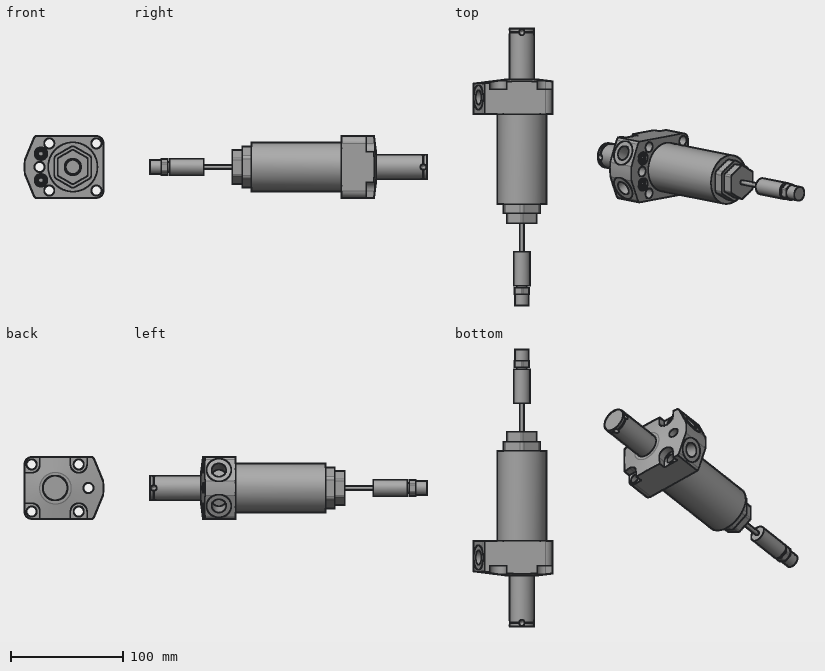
import cadquery as cq
import math


head_half = 27.7
head_side = 27.5
head_radius = 43.3
head_corner_radius = 6.7
crown_height = 31.0
crown_edge_height = 27.2
crown_flat_radius = 14.0
bolt_offset = 21.0
bolt_hole_diameter = 9.0
bolt_seat_radius = 7.5
bolt_seat_height = 22.3
centre_hole_x = -29.7

port_angle = 22.5
port_flat_distance = 42.0
port_seat_distance = 41.8
port_y = 14.9
port_seat_diameter = 22.0
port_diameter = 12.9
port_depth = 14.9

screw_x = -28.5
screw_z = 12.0
screw_rim_diameter = 11.5
screw_diameter = 9.0
screw_recess = 2.2
screw_chamfer = 1.0
socket_width = 4.5
socket_depth = 3.7

post_diameter = 22.3
post_end = 76.5
groove_to_end = 3.5
groove_width = 0.7
groove_depth = 0.2
dimple_radius = 2.7
post_chamfer_length = 1.0
post_chamfer_depth = 0.2

barrel_diameter = 44.0
barrel_end = -80.5
outer_nut_width = 33.0
outer_nut_round = 3.7
outer_nut_end = -88.5
inner_nut_width = 27.0
inner_nut_round = 2.0
inner_nut_end = -97.5

cable_diameter = 4.0
cable_end = -122.8
sleeve_diameter = 14.9
sleeve_end = -153.5
neck_diameter = 9.2
neck_end = -155.0
plug_nut_width = 13.0
plug_nut_round = 1.5
plug_nut_end = -161.0
plug_diameter = 12.5
plug_end = post_end - 247.5


def front_plane(y):
    """Plane across the axis: local x is X, local y is Z, and the normal is -Y."""
    return cq.Workplane("XZ", origin=(0, y, 0))


def cylinder(diameter, back, front):
    return front_plane(back).circle(diameter / 2).extrude(back - front)


def hexagon(width, back, front):
    """Hexagonal prism with two flats facing +X and -X."""
    across_corners = width / math.cos(math.radians(30))
    prism = front_plane(back).polygon(6, across_corners).extrude(back - front)
    return prism.rotate((0, 0, 0), (0, 1, 0), 30)


def rounded_nut(width, corner_radius, back, front):
    return hexagon(width, back, front).edges("|Y").fillet(corner_radius)


def port_plane(side, distance):
    """Plane square to a port axis, facing outwards; side is +1 or -1 along Z."""
    angle = math.radians(port_angle)
    outward = (-math.cos(angle), 0, side * math.sin(angle))
    centre = (distance * outward[0], port_y, distance * outward[2])
    return cq.Workplane(cq.Plane(origin=centre, xDir=(0, 1, 0), normal=outward))


def head_blank():
    turned = (
        cq.Workplane("XY")
        .moveTo(0, 0)
        .lineTo(head_radius, 0)
        .lineTo(head_radius, crown_edge_height)
        .lineTo(crown_flat_radius, crown_height)
        .lineTo(0, crown_height)
        .close()
        .revolve(360, (0, 0, 0), (0, 1, 0))
    )
    block = (
        front_plane(0)
        .center((head_side - head_radius) / 2, 0)
        .rect(head_side + head_radius, 2 * head_half)
        .extrude(-crown_height)
        .edges("|Y and >X")
        .fillet(head_corner_radius)
    )
    blank = turned.intersect(block)
    for side in (1, -1):
        outside_flat = port_plane(side, port_flat_distance).rect(2 * head_radius, head_half).extrude(head_half)
        blank = blank.cut(outside_flat)
    return blank


def bolt_seat(x_sign, z_sign):
    """Pocket open to the nearer Z side; on the +X corners it is open to +X as well."""
    reach = 2 * bolt_seat_radius
    x = x_sign * bolt_offset
    z = z_sign * bolt_offset
    depth = crown_height - bolt_seat_height

    def block(dx, dz, width, height):
        return front_plane(bolt_seat_height).center(x + dx, z + dz).rect(width, height).extrude(-depth)

    seat = front_plane(bolt_seat_height).center(x, z).circle(bolt_seat_radius).extrude(-depth)
    seat = seat.union(block(0, z_sign * reach / 2, reach, reach))
    if x_sign > 0:
        seat = seat.union(block(reach / 2, z_sign * reach / 4, reach, 3 * reach / 2))
    return seat


def set_screw_recess():
    rim_radius = screw_rim_diameter / 2
    radius = screw_diameter / 2
    cone_depth = rim_radius - radius
    recess = (
        cq.Workplane("XY")
        .moveTo(0, 0)
        .lineTo(rim_radius, 0)
        .lineTo(radius, cone_depth)
        .lineTo(radius, screw_recess)
        .lineTo(radius - screw_chamfer, screw_recess - screw_chamfer)
        .lineTo(0, screw_recess - screw_chamfer)
        .close()
        .revolve(360, (0, 0, 0), (0, 1, 0))
    )
    return recess.union(hexagon(socket_width, socket_depth, 0))


def valve_head():
    head = head_blank()
    bolt_points = [(x, z) for x in (-bolt_offset, bolt_offset) for z in (-bolt_offset, bolt_offset)]
    through_points = bolt_points + [(centre_hole_x, 0)]
    holes = front_plane(0).pushPoints(through_points).circle(bolt_hole_diameter / 2).extrude(-crown_height)
    head = head.cut(holes)
    for z_sign in (1, -1):
        for x_sign in (1, -1):
            head = head.cut(bolt_seat(x_sign, z_sign))
        seat = port_plane(z_sign, port_seat_distance).circle(port_seat_diameter / 2).extrude(2.5)
        bore = port_plane(z_sign, port_seat_distance).circle(port_diameter / 2).extrude(-port_depth)
        head = head.cut(seat).cut(bore)
        head = head.cut(set_screw_recess().translate((screw_x, 0, z_sign * screw_z)))
    return head


def rear_post():
    post = cylinder(post_diameter, post_end, 0)
    post = post.faces(">Y").chamfer(post_chamfer_length, post_chamfer_depth)
    groove_y = post_end - groove_to_end
    groove = cylinder(post_diameter, groove_y + groove_width / 2, groove_y - groove_width / 2)
    core = cylinder(post_diameter - 2 * groove_depth, post_end, 0)
    post = post.cut(groove.cut(core))
    dimple = cq.Workplane(
        cq.Solid.makeCone(
            0,
            dimple_radius,
            dimple_radius,
            pnt=cq.Vector(0, groove_y, post_diameter / 2 - dimple_radius),
        )
    )
    for quarter in range(4):
        post = post.cut(dimple.rotate((0, 0, 0), (0, 1, 0), 90 * quarter))
    return post


front_sections = [
    cylinder(barrel_diameter, 0, barrel_end),
    rounded_nut(outer_nut_width, outer_nut_round, barrel_end, outer_nut_end),
    rounded_nut(inner_nut_width, inner_nut_round, outer_nut_end, inner_nut_end),
    cylinder(cable_diameter, inner_nut_end, cable_end),
    cylinder(sleeve_diameter, cable_end, sleeve_end),
    cylinder(neck_diameter, sleeve_end, neck_end),
    rounded_nut(plug_nut_width, plug_nut_round, neck_end, plug_nut_end),
    cylinder(plug_diameter, plug_nut_end, plug_end),
]

result = valve_head().union(rear_post())
for section in front_sections:
    result = result.union(section)